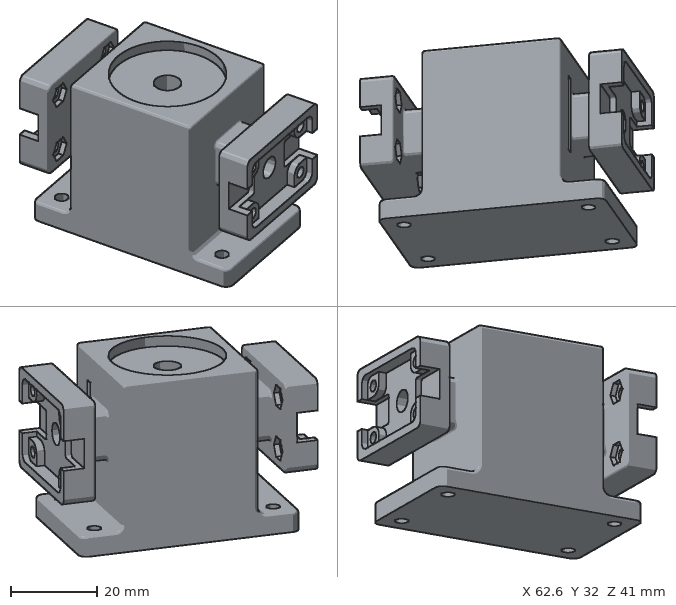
import cadquery as cq
import math

BASE_LENGTH = 54.05
DEPTH = 32.0
BASE_HEIGHT = 5.0
BASE_CORNER_RADIUS = 2.0
BASE_HOLE_DIAMETER = 3.2
BASE_HOLE_PITCH_X = 44.0
BASE_HOLE_PITCH_Y = 22.0
BLOCK_LENGTH = 33.2
TOTAL_HEIGHT = 41.0
ROOT_RADIUS = 2.0
BODY_EDGE_RADIUS = 0.8

RECESS_DIAMETER = 27.25
RECESS_DEPTH = 2.5
BORE_TOP_DIAMETER = 6.4
BORE_BOTTOM_DIAMETER = 4.75
BORE_DEPTH = 10.0
BORE_FLOOR_RADIUS = 1.0

SLIT_CENTER_Y = 7.5
SLIT_WIDTH = 1.75
SLIT_HEIGHT = 18.25
SLIT_DEPTH = 3.1

AXIS_Z = 25.05
LEFT_NECK_LENGTH = 6.4
RIGHT_NECK_LENGTH = 6.95
NECK_SIZE = 12.0
NECK_EDGE_RADIUS = 1.55
NECK_END_RADIUS = 0.6
SEAM_MARGIN = 0.05
AXLE_DIAMETER = 2.0
AXLE_COUNTERBORE_DIAMETER = 5.3

LEFT_FLANGE_HEIGHT = 24.6
RIGHT_FLANGE_HEIGHT = 22.25
FLANGE_WIDTH = 30.0
FLANGE_THICKNESS = 8.0
FLANGE_CORNER_RADIUS = 1.55
FLANGE_BACK_RADIUS = 0.6
RIM_WIDTH = 2.1
POCKET_DEPTH = 3.55
POCKET_CORNER_RADIUS = 2.0
BOSS_SIZE = 5.3
BOSS_HEIGHT = 2.0
BOSS_RADIUS = 2.6
SCREW_DIAMETER = 2.7
SCREW_INSET = 4.8
NUT_ACROSS_FLATS = 5.0
NUT_POCKET_DEPTH = 1.4
SLOT_HEIGHT = 7.25
SLOT_DEPTH = 5.05
SLOT_END_Y = 6.4
SLOT_CORNER_RADIUS = 0.75


def make_body():
    """Base plate and block from one side outline, with rounded edges."""
    base_x = BASE_LENGTH / 2
    block_x = BLOCK_LENGTH / 2
    root_x = block_x + ROOT_RADIUS
    root_z = BASE_HEIGHT + ROOT_RADIUS
    body = (
        cq.Workplane("XZ", origin=(0, DEPTH / 2, 0))
        .moveTo(-base_x, 0)
        .lineTo(base_x, 0)
        .lineTo(base_x, BASE_HEIGHT)
        .lineTo(root_x, BASE_HEIGHT)
        .radiusArc((block_x, root_z), ROOT_RADIUS)
        .lineTo(block_x, TOTAL_HEIGHT)
        .lineTo(-block_x, TOTAL_HEIGHT)
        .lineTo(-block_x, root_z)
        .radiusArc((-root_x, BASE_HEIGHT), ROOT_RADIUS)
        .lineTo(-base_x, BASE_HEIGHT)
        .close()
        .extrude(DEPTH)
    )
    body = body.edges("|Z and (<X or >X)").fillet(BASE_CORNER_RADIUS)
    block_edges = cq.selectors.BoxSelector(
        (-root_x, -DEPTH, root_z), (root_x, DEPTH, 2 * TOTAL_HEIGHT), boundingbox=True
    )
    return body.edges(block_edges).fillet(BODY_EDGE_RADIUS)


def cut_base_holes(body):
    """Four mounting holes through the base plate."""
    holes = (
        cq.Workplane("XY")
        .rect(BASE_HOLE_PITCH_X, BASE_HOLE_PITCH_Y, forConstruction=True)
        .vertices()
        .circle(BASE_HOLE_DIAMETER / 2)
        .extrude(BASE_HEIGHT)
    )
    return body.cut(holes)


def make_top_bore():
    """Round recess with a tapered bore that ends in a rounded floor."""
    recess_z = TOTAL_HEIGHT - RECESS_DEPTH
    floor_z = recess_z - BORE_DEPTH
    bottom_radius = BORE_BOTTOM_DIAMETER / 2
    floor_radius = bottom_radius - BORE_FLOOR_RADIUS
    return (
        cq.Workplane("XZ")
        .moveTo(0, floor_z)
        .lineTo(floor_radius, floor_z)
        .radiusArc((bottom_radius, floor_z + BORE_FLOOR_RADIUS), -BORE_FLOOR_RADIUS)
        .lineTo(BORE_TOP_DIAMETER / 2, recess_z)
        .lineTo(RECESS_DIAMETER / 2, recess_z)
        .lineTo(RECESS_DIAMETER / 2, TOTAL_HEIGHT)
        .lineTo(0, TOTAL_HEIGHT)
        .close()
        .revolve(360, (0, 0, 0), (0, 1, 0))
    )


def make_slit():
    """Narrow upright slot sunk into the -X face of the block."""
    center_x = -(BLOCK_LENGTH - SLIT_DEPTH) / 2
    slit = cq.Workplane("XY").box(SLIT_DEPTH, SLIT_WIDTH, SLIT_HEIGHT)
    return slit.translate((center_x, SLIT_CENTER_Y, AXIS_Z))


def plane_at(x):
    """Work plane facing +X on the neck axis; its local axes are Y and Z."""
    return cq.Workplane("YZ", origin=(x, 0, AXIS_Z))


def make_flange(neck_length, height):
    """Flange and neck on the +X side of the block."""
    block_x = BLOCK_LENGTH / 2
    back_x = block_x + neck_length
    outer_x = back_x + FLANGE_THICKNESS
    floor_x = outer_x - POCKET_DEPTH

    flange = plane_at(back_x).rect(FLANGE_WIDTH, height).extrude(FLANGE_THICKNESS)
    flange = flange.edges("|X").fillet(FLANGE_CORNER_RADIUS)
    flange = flange.faces("<X").edges().fillet(FLANGE_BACK_RADIUS)

    pocket_width = FLANGE_WIDTH - 2 * RIM_WIDTH
    pocket_height = height - 2 * RIM_WIDTH
    pocket = plane_at(floor_x).rect(pocket_width, pocket_height).extrude(POCKET_DEPTH)
    pocket = pocket.edges("|X").fillet(POCKET_CORNER_RADIUS)
    bosses = make_bosses(floor_x, pocket_width, pocket_height)
    flange = flange.cut(pocket.cut(bosses))

    screw_points = [
        (side_y * (FLANGE_WIDTH / 2 - SCREW_INSET), side_z * (height / 2 - SCREW_INSET))
        for side_y in (-1, 1)
        for side_z in (-1, 1)
    ]
    screws = (
        plane_at(back_x)
        .pushPoints(screw_points)
        .circle(SCREW_DIAMETER / 2)
        .extrude(FLANGE_THICKNESS)
    )
    nut_diameter = NUT_ACROSS_FLATS / math.cos(math.pi / 6)
    nuts = (
        plane_at(back_x)
        .pushPoints(screw_points)
        .polygon(6, nut_diameter)
        .extrude(NUT_POCKET_DEPTH)
    )
    flange = flange.cut(screws).cut(nuts).cut(make_side_slots(outer_x))

    neck = plane_at(block_x).rect(NECK_SIZE, NECK_SIZE).extrude(neck_length)
    neck = neck.edges("|X").fillet(NECK_EDGE_RADIUS)
    return flange.union(neck)


def make_bosses(floor_x, pocket_width, pocket_height):
    """Four corner pads on the pocket floor, rounded toward the pocket centre."""
    bosses = cq.Workplane("YZ")
    for side_y in (-1, 1):
        for side_z in (-1, 1):
            boss = (
                plane_at(floor_x)
                .center(
                    side_y * (pocket_width - BOSS_SIZE) / 2,
                    side_z * (pocket_height - BOSS_SIZE) / 2,
                )
                .rect(BOSS_SIZE, BOSS_SIZE)
                .extrude(BOSS_HEIGHT)
            )
            inner_y = "<Y" if side_y > 0 else ">Y"
            inner_z = "<Z" if side_z > 0 else ">Z"
            inner_edge = boss.faces(inner_y).edges(inner_z)
            bosses = bosses.union(inner_edge.fillet(BOSS_RADIUS))
    return bosses


def make_side_slots(outer_x):
    """Two slots that run in from the flange sides, deeper than the pocket."""
    length = FLANGE_WIDTH / 2 - SLOT_END_Y
    slots = cq.Workplane("YZ")
    for side in (-1, 1):
        slot = (
            plane_at(outer_x - SLOT_DEPTH)
            .center(side * (SLOT_END_Y + length / 2), 0)
            .rect(length, SLOT_HEIGHT)
            .extrude(SLOT_DEPTH)
        )
        inner_end = "<Y" if side > 0 else ">Y"
        inner_corners = slot.faces(inner_end).edges("|X")
        slots = slots.union(inner_corners.fillet(SLOT_CORNER_RADIUS))
    return slots


def round_neck_ends(part):
    """Concave fillets where the necks meet the block and the flanges."""
    block_x = BLOCK_LENGTH / 2
    seam_planes = (
        -block_x - LEFT_NECK_LENGTH,
        -block_x,
        block_x,
        block_x + RIGHT_NECK_LENGTH,
    )
    reach = NECK_SIZE / 2 + SEAM_MARGIN
    for x in seam_planes:
        seam = cq.selectors.BoxSelector(
            (x - SEAM_MARGIN, -reach, AXIS_Z - reach),
            (x + SEAM_MARGIN, reach, AXIS_Z + reach),
            boundingbox=True,
        )
        part = part.edges(seam).fillet(NECK_END_RADIUS)
    return part


def make_axle_hole():
    """Hole along the neck axis, widened through each flange and neck."""
    block_x = BLOCK_LENGTH / 2
    left_reach = LEFT_NECK_LENGTH + FLANGE_THICKNESS
    right_reach = RIGHT_NECK_LENGTH + FLANGE_THICKNESS
    axle = plane_at(-block_x).circle(AXLE_DIAMETER / 2).extrude(BLOCK_LENGTH)
    left = plane_at(-block_x).circle(AXLE_COUNTERBORE_DIAMETER / 2).extrude(-left_reach)
    right = plane_at(block_x).circle(AXLE_COUNTERBORE_DIAMETER / 2).extrude(right_reach)
    return axle.union(left).union(right)


left_flange = make_flange(LEFT_NECK_LENGTH, LEFT_FLANGE_HEIGHT).mirror("YZ")
right_flange = make_flange(RIGHT_NECK_LENGTH, RIGHT_FLANGE_HEIGHT)

result = cut_base_holes(make_body()).union(left_flange).union(right_flange)
result = round_neck_ends(result)
result = result.cut(make_top_bore()).cut(make_slit()).cut(make_axle_hole())